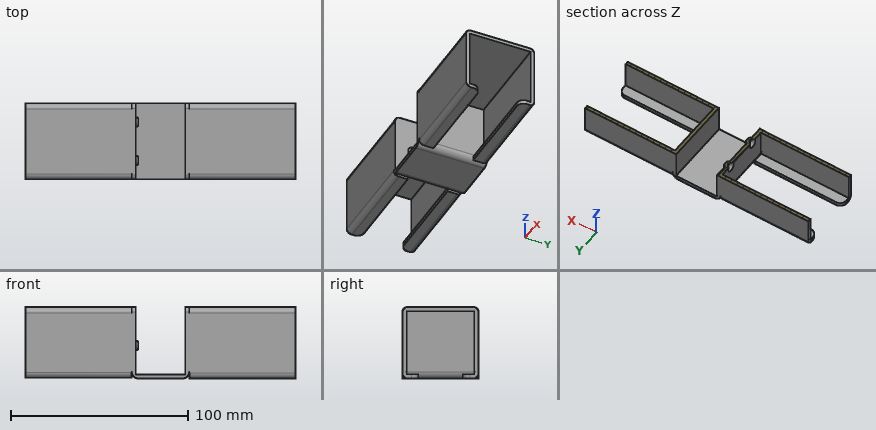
import cadquery as cq

length = 152.6
width = 43.0
height = 40.5

sheet = 2.5
rail_length = 60.0
rail_corner_radius = 3.2
left_rail_lift = 0.5
lip_reach = 9.0
lip_corner_radius = 4.1

bracket_start = rail_length
bracket_end = length - rail_length
bracket_length = bracket_end - bracket_start
bend_radius = 4.0
plate_corner_radius = 2.7

dimple_diameter = 5.5
dimple_height = 1.4
dimple_rim_radius = 1.2
dimple_floor_diameter = 2.6
dimple_depth = 2.3
dimple_spacing = 21.7
dimple_z = height - 21.7


def make_rail(start, bottom, lip_end_selector):
    """Build a C-shaped rail whose lips have one rounded corner at the free end."""
    rail_height = height - bottom
    rail = (
        cq.Workplane("XY")
        .box(rail_length, width, rail_height, centered=(False, True, False))
        .edges("|X")
        .fillet(rail_corner_radius)
    )
    cavity = (
        cq.Workplane("XY")
        .box(rail_length, width - 2 * sheet, rail_height - 2 * sheet, centered=(False, True, False))
        .translate((0, 0, sheet))
    )
    slot_width = width - 2 * lip_reach
    slot = cq.Workplane("XY").box(rail_length, slot_width, sheet, centered=(False, True, False))
    rail = rail.cut(cavity).cut(slot)
    lip_edge_zone = cq.selectors.BoxSelector(
        (-sheet, -slot_width / 2 - sheet / 2, -sheet),
        (rail_length + sheet, slot_width / 2 + sheet / 2, sheet),
    )
    rail = rail.edges("|Z").edges(lip_end_selector).edges(lip_edge_zone).fillet(lip_corner_radius)
    return rail.translate((start, 0, bottom))


def make_bracket():
    """Build the U with rounded outer bends and rounded upper plate corners."""
    bracket = (
        cq.Workplane("XY")
        .box(bracket_length, width, height, centered=(False, True, False))
        .edges("|Y and <Z")
        .fillet(bend_radius)
        .edges("|X and >Z")
        .fillet(plate_corner_radius)
    )
    opening = (
        cq.Workplane("XY")
        .box(bracket_length - 2 * sheet, width, height - sheet, centered=(False, True, False))
        .translate((sheet, 0, sheet))
    )
    return bracket.cut(opening).translate((bracket_start, 0, 0))


def add_dimple(body, y):
    """Raise a round bump on the left plate and hollow it from the rail side."""
    plate_face = bracket_start + sheet
    bump = (
        cq.Workplane("YZ", origin=(plate_face, y, dimple_z))
        .circle(dimple_diameter / 2)
        .extrude(dimple_height)
        .faces(">X")
        .edges()
        .fillet(dimple_rim_radius)
    )
    hollow = (
        cq.Workplane("YZ", origin=(bracket_start, y, dimple_z))
        .circle(dimple_diameter / 2)
        .workplane(offset=dimple_depth)
        .circle(dimple_floor_diameter / 2)
        .loft()
    )
    return body.union(bump).cut(hollow)


result = make_bracket()
result = result.union(make_rail(0, left_rail_lift, "<X"))
result = result.union(make_rail(bracket_end, 0, ">X"))
for side in (-1, 1):
    result = add_dimple(result, side * dimple_spacing / 2)